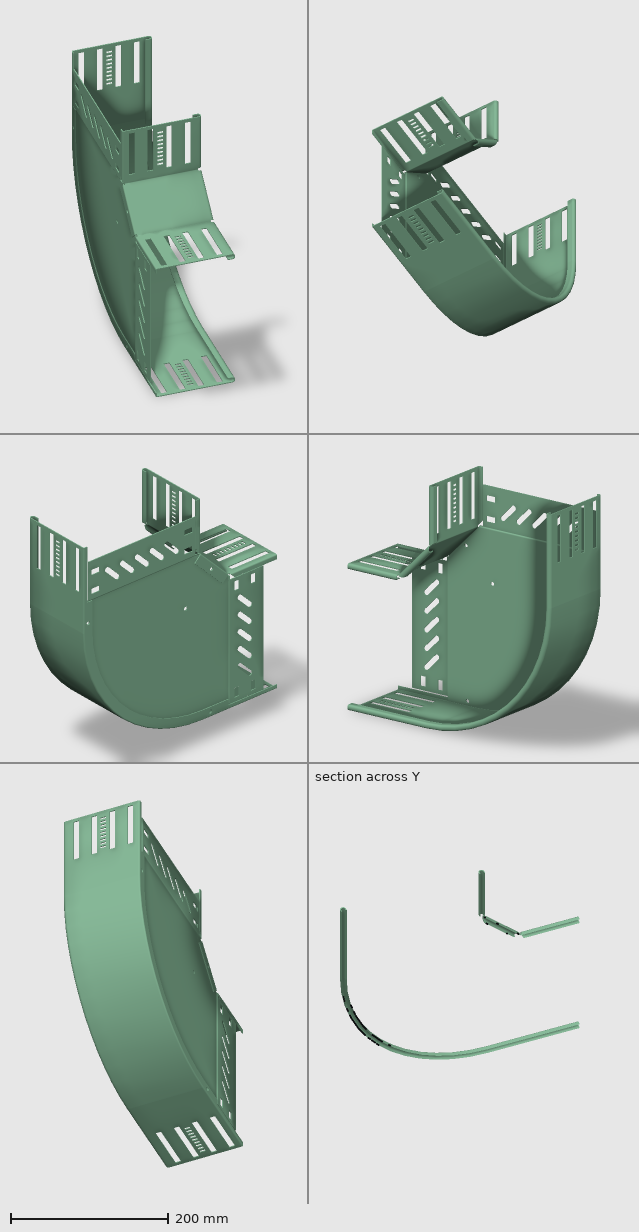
import cadquery as cq
import math

LENGTH = 325.0
DEPTH = 107.0
TRAY_WIDTH = 196.3
SHEET = 1.3
BEND_RADIUS = 200.0
CORNER_END = 245.0

FOLD_RADIUS = 2.0
ROLL_RADIUS = 4.0
LIP_RADIUS = 3.5
HOOK_REACH = 7.8
HOOK_DROP = 9.8
WIDE_FLANGE = 14.5
OUTER_NARROW_FLANGE = 6.2
INNER_NARROW_FLANGE = 7.0

CORNER_FOLD = 1.0
CORNER_RELIEF = 1.5
CORNER_WEB_LOW = 3.0
CORNER_WEB_DROP = 5.0
FLANGE_MITRE_SHIFT = 1.5
HOOK_MITRE_SHIFT = -3.5

STRIP_START = 243.8
JOGGLE_RUN = 2.3
STRIP_END = 302.0
STRIP_INSET = 8.0

HOLE_DIAMETER = 5.5
HOLE_INSET = 7.8
WALL_HOLE_POSITION = 213.0
PANEL_HOLE_POSITION = 172.5

WALL_SLOT_LENGTH = 63.0
WALL_SLOT_HEIGHT = 7.8
WALL_SLOT_PITCH = 25.0
WALL_SLOT_COUNT = 4
FIRST_WALL_SLOT = 13.0
PERFORATION_CENTRE = LENGTH - 36.5
SMALL_SLOT_LENGTH = 7.8
SMALL_SLOT_WIDTH = 3.0
SMALL_SLOT_SPAN = 48.0
SMALL_SLOT_COUNT = 9
SMALL_SLOT_HEIGHT = 51.0

END_SLOT_LENGTH = 13.5
END_SLOT_WIDTH = 7.8
END_SLOT_SPAN = 156.0
END_SLOT_PITCH = 27.5
STRIP_SLOT_CENTRE = 271.0
SLANT_SLOT_LENGTH = 31.5
SLANT_SLOT_WIDTH = 7.0
SLANT_SLOT_PITCH = 25.0
SLANT_SLOT_COUNT = 5
SLANT_ANGLE = -45.0

CORNER_WEB_HIGH = DEPTH - CORNER_WEB_DROP
DIAGONAL_SHARE = math.sqrt(0.5)
LEG_CENTRE = TRAY_WIDTH / 2
MARGIN = 3.2
DIAGONAL_LENGTH = (CORNER_END - TRAY_WIDTH) * math.sqrt(2)
HALF_TURN = math.tan(math.radians(45 / 2))
DIAGONAL_MIDDLE = (TRAY_WIDTH + CORNER_END) / 2


def swap_legs(shape):
    """Mirror about X = Z, which exchanges the upright and the level leg."""
    return shape.mirror(cq.Vector(1, 0, -1))


def both_legs(shape):
    return shape.union(swap_legs(shape))


def front_plane(y):
    """Workplane in X and Z at depth y; a negative extrusion goes towards +Y."""
    return cq.Workplane("XZ", origin=(0, y, 0))


def folded_profile(origin, inward, flange):
    """Wall cross-section: flange at Y = 0, upright web, and hook at the free edge."""
    direction = cq.Vector(*inward)
    plane = cq.Plane(origin=origin, xDir=direction, normal=direction.cross(cq.Vector(0, 1, 0)))
    sine = DIAGONAL_SHARE
    fold_inner = FOLD_RADIUS - SHEET
    roll = DEPTH - ROLL_RADIUS
    roll_inner = ROLL_RADIUS - SHEET
    lip_end = DEPTH - HOOK_DROP
    lip_x = HOOK_REACH - LIP_RADIUS
    lip_y = DEPTH - LIP_RADIUS
    lip_inner = LIP_RADIUS - SHEET
    return (
        cq.Workplane(plane)
        .moveTo(flange, 0)
        .lineTo(FOLD_RADIUS, 0)
        .threePointArc((FOLD_RADIUS * (1 - sine), FOLD_RADIUS * (1 - sine)), (0, FOLD_RADIUS))
        .lineTo(0, roll)
        .threePointArc((ROLL_RADIUS * (1 - sine), roll + ROLL_RADIUS * sine), (ROLL_RADIUS, DEPTH))
        .lineTo(lip_x, DEPTH)
        .threePointArc((lip_x + LIP_RADIUS * sine, lip_y + LIP_RADIUS * sine), (HOOK_REACH, lip_y))
        .lineTo(HOOK_REACH, lip_end)
        .lineTo(HOOK_REACH - SHEET, lip_end)
        .lineTo(HOOK_REACH - SHEET, lip_y)
        .threePointArc((lip_x + lip_inner * sine, lip_y + lip_inner * sine), (lip_x, DEPTH - SHEET))
        .lineTo(ROLL_RADIUS, DEPTH - SHEET)
        .threePointArc((ROLL_RADIUS - roll_inner * sine, roll + roll_inner * sine), (SHEET, roll))
        .lineTo(SHEET, FOLD_RADIUS)
        .threePointArc(
            (FOLD_RADIUS - fold_inner * sine, FOLD_RADIUS - fold_inner * sine), (FOLD_RADIUS, SHEET)
        )
        .lineTo(flange, SHEET)
        .close()
    )


def fixing_holes(points):
    """Round cutters along Y through the flanges and the panel."""
    return front_plane(-MARGIN).pushPoints(points).circle(HOLE_DIAMETER / 2).extrude(-2 * MARGIN - SHEET)


OUTER_HOLES = [(HOLE_INSET, WALL_HOLE_POSITION), (WALL_HOLE_POSITION, HOLE_INSET)]
INNER_HOLE = DIAGONAL_MIDDLE - HOLE_INSET * DIAGONAL_SHARE
INNER_HOLES = [(INNER_HOLE, INNER_HOLE)]


def wall_perforations():
    """Cutters through both side walls of the upright leg."""
    long_places = [
        (FIRST_WALL_SLOT + i * WALL_SLOT_PITCH, PERFORATION_CENTRE) for i in range(WALL_SLOT_COUNT)
    ]
    small_pitch = SMALL_SLOT_SPAN / (SMALL_SLOT_COUNT - 1)
    first_small = PERFORATION_CENTRE - SMALL_SLOT_SPAN / 2
    small_places = [
        (SMALL_SLOT_HEIGHT, first_small + i * small_pitch) for i in range(SMALL_SLOT_COUNT)
    ]
    plane = cq.Workplane("YZ", origin=(-MARGIN, 0, 0))
    reach = TRAY_WIDTH + 2 * MARGIN
    long_slots = plane.pushPoints(long_places).rect(WALL_SLOT_HEIGHT, WALL_SLOT_LENGTH).extrude(reach)
    small_slots = plane.pushPoints(small_places).rect(SMALL_SLOT_LENGTH, SMALL_SLOT_WIDTH).extrude(reach)
    return long_slots.add(small_slots).combine()


def strip_perforations():
    """Cutters for the upper strip: a rectangle near each corner and a row of slanted slots."""
    plane = front_plane(-MARGIN).center(LEG_CENTRE, STRIP_SLOT_CENTRE)
    end_slots = (
        plane.rarray(END_SLOT_SPAN, END_SLOT_PITCH, 2, 2)
        .rect(END_SLOT_LENGTH, END_SLOT_WIDTH)
        .extrude(-2 * MARGIN)
    )
    slanted = (
        plane.rarray(SLANT_SLOT_PITCH, 3.2, SLANT_SLOT_COUNT, 1)
        .slot2D(SLANT_SLOT_LENGTH, SLANT_SLOT_WIDTH, SLANT_ANGLE)
        .extrude(-2 * MARGIN)
    )
    return end_slots.add(slanted).combine()


def make_outer_wall():
    start = (0, 0, BEND_RADIUS)
    inward = (1, 0, 0)
    leg = folded_profile(start, inward, WIDE_FLANGE).extrude(LENGTH - BEND_RADIUS)
    flange_notch = cq.Workplane().box(
        WIDE_FLANGE, SHEET + MARGIN, LENGTH - STRIP_START, centered=False
    ).translate((OUTER_NARROW_FLANGE, -MARGIN, STRIP_START))
    leg = leg.cut(flange_notch)
    quarter_turn = folded_profile(start, inward, WIDE_FLANGE).revolve(
        90, (BEND_RADIUS, 3.2), (BEND_RADIUS, 0)
    )
    wall = both_legs(leg).union(quarter_turn)
    return wall.cut(both_legs(wall_perforations())).cut(fixing_holes(OUTER_HOLES))


def corner_web():
    """Upright web of one leg and half of the diagonal, folded at the corner."""
    half_step = SHEET * DIAGONAL_SHARE
    web = (
        front_plane(CORNER_WEB_LOW)
        .moveTo(TRAY_WIDTH, LENGTH)
        .lineTo(TRAY_WIDTH, CORNER_END)
        .lineTo(DIAGONAL_MIDDLE, DIAGONAL_MIDDLE)
        .lineTo(DIAGONAL_MIDDLE - half_step, DIAGONAL_MIDDLE - half_step)
        .lineTo(TRAY_WIDTH - SHEET, CORNER_END - SHEET * HALF_TURN)
        .lineTo(TRAY_WIDTH - SHEET, LENGTH)
        .close()
        .extrude(-(CORNER_WEB_HIGH - CORNER_WEB_LOW))
    )
    middle = (CORNER_WEB_LOW + CORNER_WEB_HIGH) / 2
    hollow_edge = cq.NearestToPointSelector((TRAY_WIDTH, middle, CORNER_END))
    web = web.edges("|Y").edges(hollow_edge).fillet(CORNER_FOLD)
    tray_edge = cq.NearestToPointSelector((TRAY_WIDTH - SHEET, middle, CORNER_END - SHEET * HALF_TURN))
    return web.edges("|Y").edges(tray_edge).fillet(CORNER_FOLD + SHEET)


def mitre_cutter(foot, low, high):
    """45 degree wedge that frees the folded edge of a leg next to the corner."""
    far_side = TRAY_WIDTH - WIDE_FLANGE
    wedge = [(TRAY_WIDTH, foot), (far_side, foot + WIDE_FLANGE), (far_side, foot)]
    return front_plane(low).polyline(wedge).close().extrude(low - high)


def inner_leg():
    """Upright leg with its flange and hook mitred next to the corner."""
    length = LENGTH - CORNER_END - CORNER_RELIEF
    leg = folded_profile((TRAY_WIDTH, 0, LENGTH), (-1, 0, 0), INNER_NARROW_FLANGE).extrude(length)
    flange_mitre = mitre_cutter(CORNER_END + FLANGE_MITRE_SHIFT, -MARGIN, FOLD_RADIUS)
    hook_mitre = mitre_cutter(CORNER_END + HOOK_MITRE_SHIFT, DEPTH - HOOK_DROP, DEPTH + MARGIN)
    return leg.cut(flange_mitre).cut(hook_mitre)


def half_diagonal():
    """Diagonal from the upper corner to its middle, with its hook trimmed clear of the leg."""
    step = CORNER_RELIEF * DIAGONAL_SHARE
    start = (TRAY_WIDTH + step, 0, CORNER_END - step)
    length = DIAGONAL_LENGTH / 2 - CORNER_RELIEF
    diagonal = folded_profile(start, (-1, 0, -1), WIDE_FLANGE).extrude(length)
    hook_trim = (
        front_plane(DEPTH - HOOK_DROP - MARGIN)
        .moveTo(TRAY_WIDTH - SHEET, CORNER_END)
        .rect(-HOOK_REACH, -2 * HOOK_REACH, centered=False)
        .extrude(-HOOK_DROP - 2 * MARGIN)
    )
    return diagonal.cut(hook_trim)


def make_inner_wall():
    wall = both_legs(corner_web().union(inner_leg()).union(half_diagonal()))
    return wall.cut(both_legs(wall_perforations())).cut(fixing_holes(INNER_HOLES))


def panel_sheet():
    """Flat sheet between the walls, one layer above the flanges."""
    edge = FOLD_RADIUS
    radius = BEND_RADIUS - edge
    arc_middle = BEND_RADIUS - radius * DIAGONAL_SHARE
    diagonal_sum = TRAY_WIDTH + CORNER_END - edge * math.sqrt(2)
    return (
        front_plane(SHEET)
        .moveTo(edge, STRIP_START)
        .lineTo(edge, BEND_RADIUS)
        .threePointArc((arc_middle, arc_middle), (BEND_RADIUS, edge))
        .lineTo(STRIP_START, edge)
        .lineTo(STRIP_START, diagonal_sum - STRIP_START)
        .lineTo(diagonal_sum - STRIP_START, STRIP_START)
        .close()
        .extrude(-SHEET)
    )


def joggle():
    """S-shaped step of two equal arcs from the panel down to the flange layer."""
    half_angle = math.atan(SHEET / JOGGLE_RUN)
    middle_radius = JOGGLE_RUN / 2 / math.sin(2 * half_angle)
    tight = middle_radius - SHEET / 2
    wide = middle_radius + SHEET / 2
    end = STRIP_START + JOGGLE_RUN
    upper_centre = (2 * SHEET - wide, STRIP_START)
    lower_centre = (wide, end)

    def upper(radius, angle):
        return (upper_centre[0] + radius * math.cos(angle), upper_centre[1] + radius * math.sin(angle))

    def lower(radius, angle):
        return (lower_centre[0] - radius * math.cos(angle), lower_centre[1] - radius * math.sin(angle))

    return (
        cq.Workplane("YZ", origin=(STRIP_INSET, 0, 0))
        .moveTo(*upper(tight, 0))
        .threePointArc(upper(tight, half_angle), upper(tight, 2 * half_angle))
        .threePointArc(lower(wide, half_angle), lower(wide, 0))
        .lineTo(*lower(tight, 0))
        .threePointArc(lower(tight, half_angle), lower(tight, 2 * half_angle))
        .threePointArc(upper(wide, half_angle), upper(wide, 0))
        .close()
        .extrude(TRAY_WIDTH - FOLD_RADIUS - STRIP_INSET)
    )


def upper_strip():
    """Perforated strip in the layer of the flanges."""
    foot = STRIP_START + JOGGLE_RUN
    strip = (
        front_plane(0)
        .moveTo(STRIP_INSET, foot)
        .rect(TRAY_WIDTH - 2 * STRIP_INSET, STRIP_END - foot, centered=False)
        .extrude(-SHEET)
    )
    return strip.cut(strip_perforations())


def make_panel():
    panel = panel_sheet().union(both_legs(joggle().union(upper_strip())))
    centre_hole = (PANEL_HOLE_POSITION, PANEL_HOLE_POSITION)
    return panel.cut(fixing_holes(OUTER_HOLES + INNER_HOLES + [centre_hole]))


outer_wall = make_outer_wall()
inner_wall = make_inner_wall()
panel = make_panel()

result = cq.Compound.makeCompound(
    [outer_wall.solids().val(), inner_wall.solids().val(), panel.solids().val()]
)